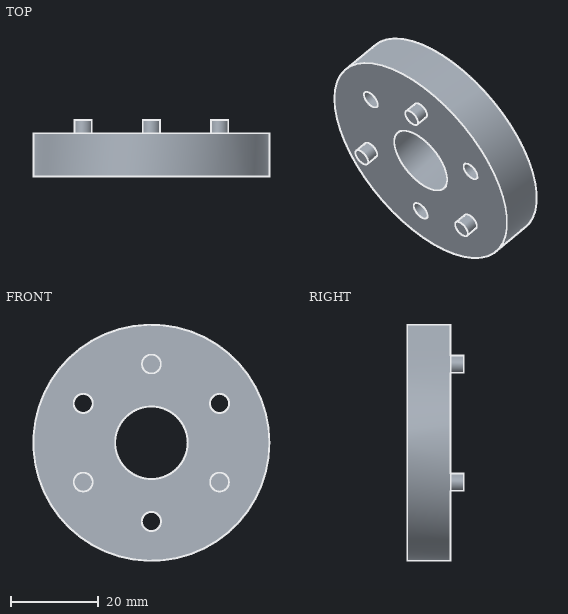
import cadquery as cq

disc_diameter = 54.0
disc_thickness = 10.0
bore_diameter = 16.5

ring_radius = 18.0
hole_diameter = 4.3
pin_diameter = 4.0
pin_height = 3.0
socket_depth = 4.0
stations = 3
first_hole_angle = 30
first_pin_angle = 90


def ring_cylinders(diameter, start_y, length, first_angle):
    """Evenly spaced cylinders on the ring, running from start_y toward +Y."""
    plane = cq.Workplane("XZ", origin=(0, start_y, 0))
    spots = plane.polarArray(ring_radius, first_angle, 360, stations)
    return spots.circle(diameter / 2).extrude(-length)


disc = (
    cq.Workplane("XZ")
    .circle(disc_diameter / 2)
    .circle(bore_diameter / 2)
    .extrude(-disc_thickness)
)

through_holes = ring_cylinders(hole_diameter, 0, disc_thickness, first_hole_angle)
sockets = ring_cylinders(hole_diameter, 0, socket_depth, first_pin_angle)
pins = ring_cylinders(pin_diameter, disc_thickness, pin_height, first_pin_angle)

result = disc.cut(through_holes).cut(sockets).union(pins)